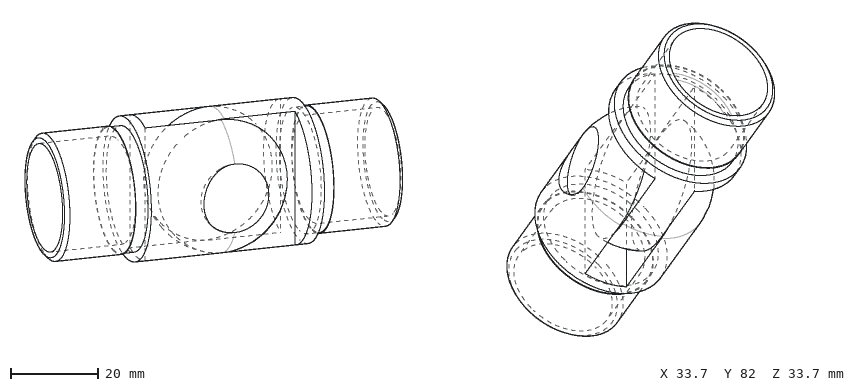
import cadquery as cq

TOTAL_LENGTH = 82.0
BODY_DIAMETER = 33.7
BODY_RADIUS = BODY_DIAMETER / 2

PLUG_LENGTH = 20.0
PLUG_DIAMETER = 29.6
PLUG_CHAMFER = 1.0
NECK_LENGTH = 3.0
NECK_DIAMETER = 29.2
BORE_DIAMETER = 25.0
BORE_DEPTH = 17.95
BORE_FILLET = 1.0
SHOULDER_Y = TOTAL_LENGTH / 2 - PLUG_LENGTH

SLOT_WIDTH = 10.5
SLOT_FLOOR_THICKNESS = 2.55
SPOTFACE_DIAMETER = 16.5
SPOTFACE_X = (BODY_RADIUS**2 - (SPOTFACE_DIAMETER / 2) ** 2) ** 0.5

TONGUE_WIDTH = 10.0
TONGUE_SPHERE_Y = 0.8
FLANGE_THICKNESS = 3.0


def cylinder_along_y(diameter, y_start, y_end):
    start_plane = cq.Plane(origin=(0, y_start, 0), xDir=(1, 0, 0), normal=(0, 1, 0))
    return cq.Workplane(start_plane).circle(diameter / 2).extrude(y_end - y_start)


def slab_across_x(width, y_start, y_end):
    """A plate of the given X width, tall enough to span the body in Z."""
    middle_y = (y_start + y_end) / 2
    return cq.Workplane("XY").box(width, y_end - y_start, BODY_DIAMETER).translate((0, middle_y, 0))


def plug():
    """Plug on the +Y end, with a necked root and a blind bore open at its end."""
    end_y = TOTAL_LENGTH / 2
    neck_end_y = SHOULDER_Y + NECK_LENGTH
    neck = cylinder_along_y(NECK_DIAMETER, SHOULDER_Y, neck_end_y)
    tube = cylinder_along_y(PLUG_DIAMETER, neck_end_y, end_y).faces(">Y").chamfer(PLUG_CHAMFER)
    bore = cylinder_along_y(BORE_DIAMETER, end_y - BORE_DEPTH, end_y)
    bore = bore.faces("<Y").edges().fillet(BORE_FILLET)
    return neck.union(tube).cut(bore)


def round_nosed_body(nose_y):
    """Cylinder from the +Y shoulder to nose_y, closed there by a half sphere facing -Y."""
    sphere = cq.Workplane("XY").sphere(BODY_RADIUS).translate((0, nose_y, 0))
    return cylinder_along_y(BODY_DIAMETER, nose_y, SHOULDER_Y).union(sphere)


def make_fork():
    body = round_nosed_body(0).union(plug()).rotate((0, 0, 0), (0, 0, 1), 180)
    slot = slab_across_x(SLOT_WIDTH, -SHOULDER_Y + SLOT_FLOOR_THICKNESS, BODY_RADIUS)
    spotface = (
        cq.Workplane("YZ", origin=(SPOTFACE_X, 0, 0))
        .circle(SPOTFACE_DIAMETER / 2)
        .extrude(BODY_RADIUS)
    )
    return body.cut(slot).cut(spotface)


def make_tongue():
    flange = cylinder_along_y(BODY_DIAMETER, SHOULDER_Y - FLANGE_THICKNESS, SHOULDER_Y)
    blade_slab = slab_across_x(TONGUE_WIDTH, -BODY_RADIUS, SHOULDER_Y)
    blade = round_nosed_body(TONGUE_SPHERE_Y).intersect(blade_slab)
    return blade.union(flange).union(plug())


fork = make_fork()
tongue = make_tongue()
result = cq.Compound.makeCompound([fork.solids().val(), tongue.solids().val()])